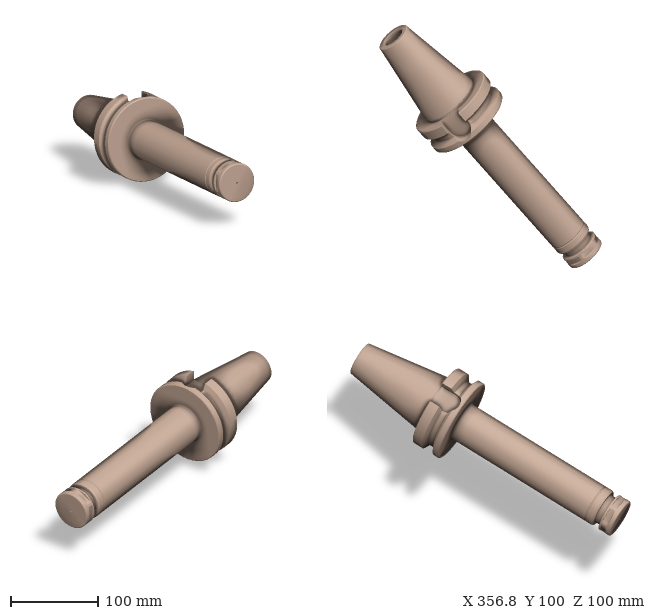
import cadquery as cq
import math

TOTAL_LENGTH = 356.8
FLANGE_D = 100.0
BODY_D = 46.0

GAUGE_D = 70.0
TAPER_LENGTH = 101.7
TAPER_RATE = 7 / 24
SMALL_END_D = GAUGE_D - TAPER_RATE * TAPER_LENGTH
END_CHAMFER = 0.7
LAND_LENGTH = 3.0

RELIEF_START = 102.5
RELIEF_DEPTH = 0.5
RELIEF_FACE_D = 72.8

FLANGE_START = TAPER_LENGTH + LAND_LENGTH
FLANGE_END = 140.0
FLANGE_CHAMFER = 1.0
GROOVE_CENTER = 125.0
GROOVE_FLOOR_WIDTH = 6.5
GROOVE_D = 85.0
GROOVE_WALL_ANGLE = 30

SLOT_COUNT = 2
SLOT_WIDTH = 25.7
SLOT_FLOOR = 35.0
SLOT_END = 136.3

BODY_FILLET = 2.0
BODY_END = 333.5
BODY_CHAMFER = 2.0
BODY_CHAMFER_DEPTH = 1.0
RING_GROOVE_CENTER = 323.3
RING_GROOVE_WIDTH = 2.0
RING_GROOVE_DEPTH = 0.7

NECK_D = 36.0
NUT_START = 341.5
NUT_CHAMFER = 0.7
NUT_FILLET = 1.8
FLAT_COUNT = 6
FLAT_START = 344.0
FLAT_END = 350.5
FLAT_DISTANCE = 20.7
FLAT_WALL_ANGLE = 30

ENTRY_D = 28.0
PILOT_D = 25.0
PILOT_DEPTH = 10.7
THREAD_CHAMFER_D = 24.0
DRILL_D = 21.0
DRILL_DEPTH = 71.5
SHOULDER_D = 9.0
SHOULDER_DEPTH = 92.8
COOLANT_D = 2.5


def make_outside():
    """Revolved outside, from the small end of the taper to the nut face."""
    land_r = GAUGE_D / 2
    flange_r = FLANGE_D / 2
    groove_r = GROOVE_D / 2
    body_r = BODY_D / 2
    groove_left = GROOVE_CENTER - GROOVE_FLOOR_WIDTH / 2
    groove_right = GROOVE_CENTER + GROOVE_FLOOR_WIDTH / 2
    wall_run = (flange_r - groove_r) * math.tan(math.radians(GROOVE_WALL_ANGLE))
    ring_left = RING_GROOVE_CENTER - RING_GROOVE_WIDTH / 2
    ring_right = RING_GROOVE_CENTER + RING_GROOVE_WIDTH / 2

    profile = (
        cq.Workplane("XY")
        .lineTo(0, SMALL_END_D / 2 - END_CHAMFER)
        .lineTo(END_CHAMFER, SMALL_END_D / 2 + END_CHAMFER * TAPER_RATE / 2)
        .lineTo(TAPER_LENGTH, land_r)
        .lineTo(RELIEF_START, land_r)
        .lineTo(RELIEF_START + RELIEF_DEPTH, land_r - RELIEF_DEPTH)
        .lineTo(FLANGE_START + RELIEF_DEPTH, land_r - RELIEF_DEPTH)
        .lineTo(FLANGE_START + RELIEF_DEPTH, RELIEF_FACE_D / 2 - RELIEF_DEPTH)
        .lineTo(FLANGE_START, RELIEF_FACE_D / 2)
        .lineTo(FLANGE_START, flange_r - FLANGE_CHAMFER)
        .lineTo(FLANGE_START + FLANGE_CHAMFER, flange_r)
        .lineTo(groove_left - wall_run, flange_r)
        .lineTo(groove_left, groove_r)
        .lineTo(groove_right, groove_r)
        .lineTo(groove_right + wall_run, flange_r)
        .lineTo(FLANGE_END - FLANGE_CHAMFER, flange_r)
        .lineTo(FLANGE_END, flange_r - FLANGE_CHAMFER)
        .lineTo(FLANGE_END, body_r + BODY_FILLET)
        .radiusArc((FLANGE_END + BODY_FILLET, body_r), -BODY_FILLET)
        .lineTo(ring_left, body_r)
        .threePointArc((RING_GROOVE_CENTER, body_r - RING_GROOVE_DEPTH), (ring_right, body_r))
        .lineTo(BODY_END - BODY_CHAMFER, body_r)
        .lineTo(BODY_END, body_r - BODY_CHAMFER_DEPTH)
        .lineTo(BODY_END, NECK_D / 2)
        .lineTo(NUT_START, NECK_D / 2)
        .lineTo(NUT_START, body_r - NUT_CHAMFER)
        .lineTo(NUT_START + NUT_CHAMFER, body_r)
        .lineTo(TOTAL_LENGTH - NUT_FILLET, body_r)
        .radiusArc((TOTAL_LENGTH, body_r - NUT_FILLET), NUT_FILLET)
        .lineTo(TOTAL_LENGTH, 0)
        .close()
    )
    return profile.revolve(360, (0, 0, 0), (1, 0, 0))


def make_bore():
    """Revolved tool for the stepped bore at the taper's small end."""
    entry_depth = (ENTRY_D - PILOT_D) / 2
    thread_chamfer = (THREAD_CHAMFER_D - DRILL_D) / 2
    profile = (
        cq.Workplane("XY")
        .lineTo(0, ENTRY_D / 2)
        .lineTo(entry_depth, PILOT_D / 2)
        .lineTo(PILOT_DEPTH, PILOT_D / 2)
        .lineTo(PILOT_DEPTH, THREAD_CHAMFER_D / 2)
        .lineTo(PILOT_DEPTH + thread_chamfer, DRILL_D / 2)
        .lineTo(DRILL_DEPTH, DRILL_D / 2)
        .lineTo(DRILL_DEPTH, SHOULDER_D / 2)
        .lineTo(SHOULDER_DEPTH, SHOULDER_D / 2)
        .lineTo(SHOULDER_DEPTH, COOLANT_D / 2)
        .lineTo(TOTAL_LENGTH, COOLANT_D / 2)
        .lineTo(TOTAL_LENGTH, 0)
        .close()
    )
    return profile.revolve(360, (0, 0, 0), (1, 0, 0))


def make_drive_slot():
    """Round-ended slot tool for the +Z side of the flange."""
    slot_r = SLOT_WIDTH / 2
    return (
        cq.Workplane("XY", origin=(0, 0, SLOT_FLOOR))
        .moveTo(FLANGE_START, -slot_r)
        .lineTo(SLOT_END - slot_r, -slot_r)
        .threePointArc((SLOT_END, 0), (SLOT_END - slot_r, slot_r))
        .lineTo(FLANGE_START, slot_r)
        .close()
        .extrude(FLANGE_D / 2)
    )


def make_nut_flat():
    """Cutter for the wrench flat facing +Y, with a sloped wall toward the nut face."""
    depth = BODY_D / 2 - FLAT_DISTANCE
    slope_run = depth * math.tan(math.radians(FLAT_WALL_ANGLE))
    return (
        cq.Workplane("XY")
        .moveTo(FLAT_START, FLAT_DISTANCE)
        .lineTo(FLAT_START, FLAT_DISTANCE + depth)
        .lineTo(FLAT_END + slope_run, FLAT_DISTANCE + depth)
        .lineTo(FLAT_END, FLAT_DISTANCE)
        .close()
        .extrude(BODY_D / 2, both=True)
    )


def cut_around_axis(body, cutter, count):
    """Cut the body with equally spaced copies of the cutter around X."""
    for index in range(count):
        body = body.cut(cutter.rotate((0, 0, 0), (1, 0, 0), index * 360 / count))
    return body


result = make_outside().cut(make_bore())
result = cut_around_axis(result, make_drive_slot(), SLOT_COUNT)
result = cut_around_axis(result, make_nut_flat(), FLAT_COUNT)